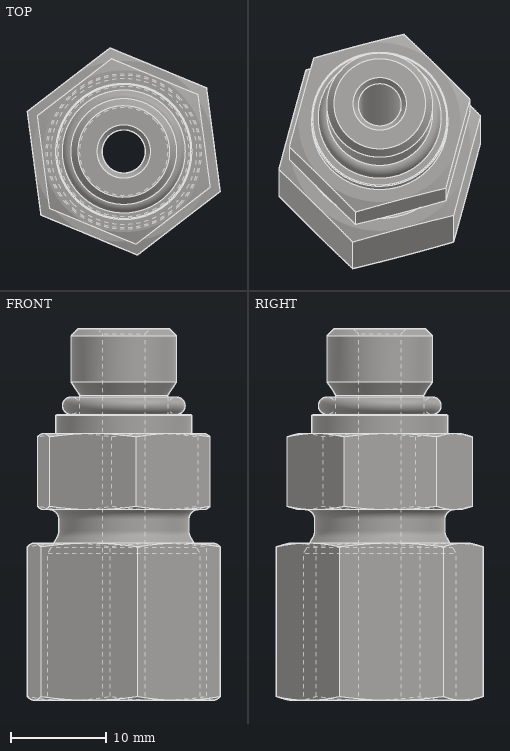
import cadquery as cq
import math

nut_height = 16.5
hex_bottom = 20.0
hex_top = 28.0
collar_top = 30.0
groove_top = 32.0
stud_bottom = 33.4
total_height = 39.0

nut_across_flats = 19.0
body_across_flats = 17.0
hex_sides = 6
hex_turn = 37.5
envelope_clearance = 1.0
corner_chamfer_angle = 15.0

bore_diameter = 4.5
bore_mouth_diameter = 5.6
stud_diameter = 11.11
stud_chamfer = 0.75
groove_diameter = 9.25
collar_diameter = 14.3
collar_chamfer = 0.12
neck_diameter = 13.7
neck_top_fillet = 1.0
shank_diameter = 16.0
flare_angle = 30.0
flare_top = 17.75
flare_blend_radius = 1.25

o_ring_section = 1.83
nut_mouth_diameter = shank_diameter + 0.3
nut_mouth_depth = 0.9


def chamfered_hexagon(across_flats, bottom, top):
    """Hexagonal prism whose corners are cut back by shallow cones down to the inscribed circle."""
    flat_radius = across_flats / 2
    corner_radius = flat_radius / math.cos(math.pi / hex_sides)
    outer_radius = corner_radius + envelope_clearance
    corner_drop = (outer_radius - flat_radius) * math.tan(math.radians(corner_chamfer_angle))
    prism = (
        cq.Workplane("XY")
        .workplane(offset=bottom)
        .polygon(hex_sides, 2 * corner_radius)
        .extrude(top - bottom)
        .rotate((0, 0, 0), (0, 0, 1), hex_turn)
    )
    envelope = (
        cq.Workplane("XZ")
        .moveTo(0, bottom)
        .lineTo(flat_radius, bottom)
        .lineTo(outer_radius, bottom + corner_drop)
        .lineTo(outer_radius, top - corner_drop)
        .lineTo(flat_radius, top)
        .lineTo(0, top)
        .close()
        .revolve(360, (0, 0, 0), (0, 1, 0))
    )
    return prism.intersect(envelope)


def make_shank():
    """Shank that fills the nut, with the flared undercut neck up to the body hexagon."""
    neck_radius = neck_diameter / 2
    shank_radius = shank_diameter / 2
    flare = math.radians(flare_angle)
    blend_end_radius = neck_radius + flare_blend_radius * (1 - math.cos(flare))
    blend_end_height = flare_top - flare_blend_radius * math.sin(flare)
    blend_mid_radius = neck_radius + flare_blend_radius * (1 - math.cos(flare / 2))
    blend_mid_height = flare_top - flare_blend_radius * math.sin(flare / 2)
    shank_top = blend_end_height - (shank_radius - blend_end_radius) / math.tan(flare)
    return (
        cq.Workplane("XZ")
        .lineTo(shank_radius, 0)
        .lineTo(shank_radius, shank_top)
        .lineTo(blend_end_radius, blend_end_height)
        .threePointArc((blend_mid_radius, blend_mid_height), (neck_radius, flare_top))
        .lineTo(neck_radius, hex_bottom - neck_top_fillet)
        .radiusArc((neck_radius + neck_top_fillet, hex_bottom), neck_top_fillet)
        .lineTo(0, hex_bottom)
        .close()
        .revolve(360, (0, 0, 0), (0, 1, 0))
    )


def make_stud():
    """Collar, O-ring groove and stud end above the body hexagon."""
    collar_radius = collar_diameter / 2
    groove_radius = groove_diameter / 2
    stud_radius = stud_diameter / 2
    return (
        cq.Workplane("XZ")
        .moveTo(0, hex_top)
        .lineTo(collar_radius, hex_top)
        .lineTo(collar_radius, collar_top - collar_chamfer)
        .lineTo(collar_radius - collar_chamfer, collar_top)
        .lineTo(groove_radius, collar_top)
        .lineTo(groove_radius, groove_top)
        .lineTo(stud_radius, stud_bottom)
        .lineTo(stud_radius, total_height - stud_chamfer)
        .lineTo(stud_radius - stud_chamfer, total_height)
        .lineTo(0, total_height)
        .close()
        .revolve(360, (0, 0, 0), (0, 1, 0))
    )


def make_bore():
    """Through bore with a 45 degree countersunk mouth at the stud end."""
    bore_radius = bore_diameter / 2
    mouth_radius = bore_mouth_diameter / 2
    return (
        cq.Workplane("XZ")
        .lineTo(bore_radius, 0)
        .lineTo(bore_radius, total_height - (mouth_radius - bore_radius))
        .lineTo(mouth_radius, total_height)
        .lineTo(0, total_height)
        .close()
        .revolve(360, (0, 0, 0), (0, 1, 0))
    )


def make_fitting_body():
    hexagon = chamfered_hexagon(body_across_flats, hex_bottom, hex_top)
    return make_shank().union(hexagon).union(make_stud()).cut(make_bore())


def make_o_ring():
    """Ring seated on the groove floor and on the top of the collar."""
    ring_radius = (groove_diameter + o_ring_section) / 2
    ring_height = collar_top + o_ring_section / 2
    return (
        cq.Workplane("XZ")
        .center(ring_radius, ring_height)
        .circle(o_ring_section / 2)
        .revolve(360, (-ring_radius, 0, 0), (-ring_radius, 1, 0))
    )


def make_nut():
    """Hexagonal nut with a 45 degree countersunk mouth, hollowed to the shape of the shank."""
    mouth_radius = nut_mouth_diameter / 2
    mouth = (
        cq.Workplane("XZ")
        .moveTo(0, nut_height - nut_mouth_depth)
        .lineTo(mouth_radius - nut_mouth_depth, nut_height - nut_mouth_depth)
        .lineTo(mouth_radius, nut_height)
        .lineTo(0, nut_height)
        .close()
        .revolve(360, (0, 0, 0), (0, 1, 0))
    )
    return chamfered_hexagon(nut_across_flats, 0, nut_height).cut(mouth).cut(make_shank())


fitting_body = make_fitting_body()
o_ring = make_o_ring()
nut = make_nut()

result = cq.Compound.makeCompound([fitting_body.val(), o_ring.val(), nut.val()])